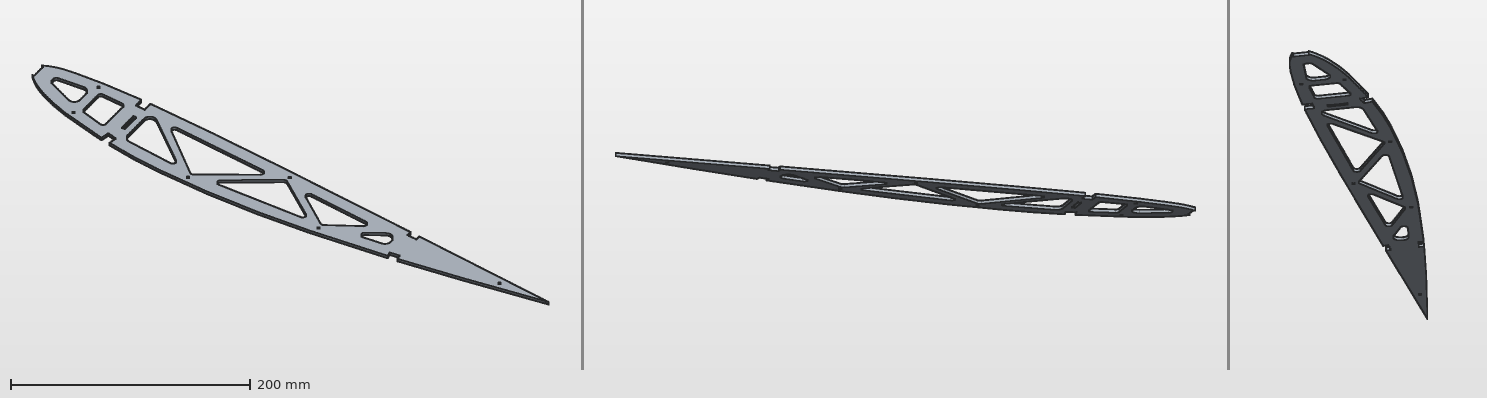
import cadquery as cq

CHORD = 512.27
THICKNESS = 3.0

NOSE_TOP = (0.0, -2.2)
NOSE_BOTTOM = (0.0, -16.4)
NOSE_RECESS_DEPTH = 1.8
NOSE_LIP_HEIGHT = 0.5
TRAILING_EDGE = (CHORD, 0.2)
UPPER_POINTS = [(12.3, 2.9), (33.2, 6.5), (60.2, 9.1), (114.2, 10.79), (239.9, 9.05), (389.9, 4.4)]
LOWER_POINTS = [
    (6.2, -21.5), (29.3, -33.0), (74.1, -43.75), (110.0, -49.1),
    (160.0, -51.38), (234.5, -48.4), (314.8, -38.7), (385.8, -26.5),
]

SMALL_RADIUS = 3.0
LARGE_RADIUS = 6.0
POCKETS = [
    [(17.3, -7.6, SMALL_RADIUS), (50.1, -3.2, LARGE_RADIUS),
     (50.1, -27.2, LARGE_RADIUS), (17.3, -14.6, SMALL_RADIUS)],
    [(59.1, -2.4, SMALL_RADIUS), (84.4, -2.4, SMALL_RADIUS),
     (84.4, -34.2, SMALL_RADIUS), (59.1, -28.8, SMALL_RADIUS)],
    [(107.2, 4.7, LARGE_RADIUS), (165.5, -39.7, SMALL_RADIUS), (107.2, -37.0, LARGE_RADIUS)],
    [(127.0, -0.7, SMALL_RADIUS), (233.5, -3.0, SMALL_RADIUS), (177.9, -41.0, SMALL_RADIUS)],
    [(247.3, -1.4, SMALL_RADIUS), (291.3, -31.1, SMALL_RADIUS), (193.1, -38.9, SMALL_RADIUS)],
    [(263.9, -3.5, SMALL_RADIUS), (340.5, -5.9, SMALL_RADIUS), (302.4, -29.9, SMALL_RADIUS)],
    [(325.5, -24.9, SMALL_RADIUS), (361.8, -1.6, LARGE_RADIUS), (361.8, -19.0, LARGE_RADIUS)],
]

NOTCH_WIDTH = 9.0
NOTCH_CUT_LENGTH = 20.0
NOTCHES = [
    (96.9, 2.1, 91.0),
    (96.9, -39.6, 259.0),
    (373.2, 0.6, 89.0),
    (372.9, -24.4, 281.0),
]

SLOT_CENTER = (99.5, -18.1)
SLOT_WIDTH = 3.0
SLOT_HEIGHT = 17.0

PIN_DIAMETER = 2.2
PIN_CENTERS = [
    (54.2, 2.6), (54.2, -34.4), (177.6, -45.2), (248.0, 2.6), (302.5, -34.4), (465.3, -4.2),
]


def make_blank():
    recess_bottom = (NOSE_RECESS_DEPTH, NOSE_BOTTOM[1] + NOSE_LIP_HEIGHT)
    recess_top = (NOSE_RECESS_DEPTH, NOSE_TOP[1] - NOSE_LIP_HEIGHT)
    return (
        cq.Workplane("XY")
        .moveTo(*NOSE_TOP)
        .spline(UPPER_POINTS + [TRAILING_EDGE], includeCurrent=True)
        .spline(LOWER_POINTS[::-1] + [NOSE_BOTTOM], includeCurrent=True)
        .lineTo(*recess_bottom)
        .lineTo(*recess_top)
        .close()
        .extrude(THICKNESS)
    )


def make_pocket(corners):
    pocket = cq.Workplane("XY").polyline([(x, y) for x, y, _ in corners]).close().extrude(THICKNESS)
    for x, y, radius in corners:
        edge_middle = (x, y, THICKNESS / 2)
        pocket = pocket.edges(cq.selectors.NearestToPointSelector(edge_middle)).fillet(radius)
    return pocket


def make_notch(x, y, direction):
    return (
        cq.Workplane("XY")
        .box(NOTCH_CUT_LENGTH, NOTCH_WIDTH, THICKNESS, centered=(False, True, False))
        .rotate((0, 0, 0), (0, 0, 1), direction)
        .translate((x, y, 0))
    )


def make_slot():
    return cq.Workplane("XY").center(*SLOT_CENTER).rect(SLOT_WIDTH, SLOT_HEIGHT).extrude(THICKNESS)


def make_pin_holes():
    return cq.Workplane("XY").pushPoints(PIN_CENTERS).circle(PIN_DIAMETER / 2).extrude(THICKNESS)


rib = make_blank()
for pocket_corners in POCKETS:
    rib = rib.cut(make_pocket(pocket_corners))
for notch in NOTCHES:
    rib = rib.cut(make_notch(*notch))
result = rib.cut(make_slot()).cut(make_pin_holes())